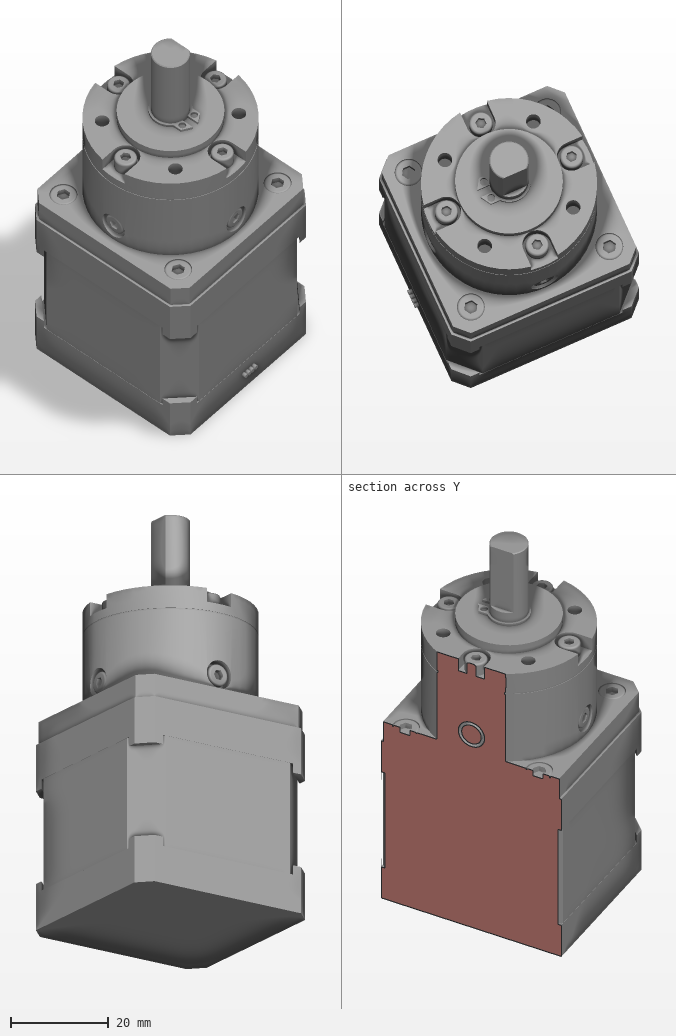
import cadquery as cq
import math

motor_width = 42.0
motor_height = 40.0
cap_chamfer = 3.0
stack_width = 41.9
stack_chamfer = 5.65
stack_bottom = 8.0
stack_top = 32.0
post_length = 2.0
post_chamfer = 5.0

wire_count = 4
wire_diameter = 1.0
wire_pitch = 1.02
wire_reach = 0.88
wire_root = 1.0
wire_z = 4.5

plate_width = 41.0
plate_thickness = 5.0
plate_chamfer = 2.75
plate_screw_offset = 15.5

gearbox_radius = 18.0
gearbox_height = 22.2
boss_radius = 11.0
boss_height = 2.1
seam_below_top = 5.15
seam_width = 0.3
seam_depth = 0.1

bolt_circle_radius = 14.0
slot_width = 6.0
slot_depth = 3.0
mount_hole_diameter = 3.0
mount_hole_depth = 5.0

side_screw_height = 4.0
side_bore_diameter = 6.0
side_bore_floor = 15.0
side_head_top = 17.6

shaft_radius = 4.0
shaft_flat = 3.0
flat_start_above_boss = 3.0
total_height = 87.3
shaft_chamfer = 0.2

clip_thickness = 0.6
clip_radius = 4.5
clip_gap = 1.6
ear_half_width = 3.0
ear_shoulder_x = 5.4
ear_tip_x = 6.75
ear_hole_x = 4.8
ear_hole_y = 1.85
ear_hole_diameter = 1.6

M3_SCREW = (5.68, 2.5, 0.5)
M25_SCREW = (4.68, 2.0, 0.45)
m25_head_height = 2.9
m3_head_height = 3.0
socket_depth = 1.3

plate_top = motor_height + plate_thickness
flange_top = plate_top + gearbox_height
boss_top = flange_top + boss_height
slot_floor = flange_top - slot_depth


def octagon(width, chamfer, bottom, top):
    """Square prism with chamfered vertical corners."""
    block = cq.Workplane("XY").workplane(offset=bottom).rect(width, width).extrude(top - bottom)
    return block.edges("|Z").chamfer(chamfer)


def cylinder(radius, bottom, top):
    return cq.Workplane("XY").workplane(offset=bottom).circle(radius).extrude(top - bottom)


def slab(length_x, length_y, bottom, top):
    return cq.Workplane("XY").workplane(offset=bottom).rect(length_x, length_y).extrude(top - bottom)


def quarter_turns(shape):
    """The shape in its four positions about the main axis."""
    return [shape.rotate((0, 0, 0), (0, 0, 1), 90 * turn) for turn in range(4)]


def screw_head(screw, height):
    """Socket head standing on the origin, hexagon corners along X."""
    diameter, across_flats, edge_round = screw
    across_corners = across_flats / math.cos(math.radians(30))
    head = cq.Workplane("XY").circle(diameter / 2).extrude(height)
    head = head.faces(">Z").edges().fillet(edge_round)
    return head.faces(">Z").workplane().polygon(6, across_corners).cutBlind(-socket_depth)


def make_motor():
    lower_cap = octagon(motor_width, cap_chamfer, 0, stack_bottom + post_length)
    upper_cap = octagon(motor_width, cap_chamfer, stack_top - post_length, motor_height)
    caps = lower_cap.union(upper_cap)
    for bottom, top in (
        (stack_bottom, stack_bottom + post_length),
        (stack_top - post_length, stack_top),
    ):
        caps = caps.cut(octagon(motor_width, post_chamfer, bottom, top))
    stack = octagon(stack_width, stack_chamfer, stack_bottom, stack_top)
    motor = caps.union(stack)
    for index in range(wire_count):
        wire_y = (index - (wire_count - 1) / 2) * wire_pitch
        wire = cq.Workplane("YZ").circle(wire_diameter / 2).extrude(wire_root + wire_reach)
        motor = motor.union(wire.translate((motor_width / 2 - wire_root, wire_y, wire_z)))
    return motor


def make_plate():
    plate = octagon(plate_width, plate_chamfer, motor_height, plate_top)
    head_seat = plate_top - m3_head_height
    head = screw_head(M3_SCREW, m3_head_height)
    for side_x in (-1, 1):
        for side_y in (-1, 1):
            place = (side_x * plate_screw_offset, side_y * plate_screw_offset, head_seat)
            pocket = cq.Workplane("XY").circle(M3_SCREW[0] / 2).extrude(m3_head_height)
            plate = plate.cut(pocket.translate(place)).union(head.translate(place))
    return plate


def make_gearbox():
    body = cylinder(gearbox_radius, plate_top, flange_top)
    seam_bottom = flange_top - seam_below_top
    seam = cylinder(gearbox_radius, seam_bottom, seam_bottom + seam_width)
    seam = seam.cut(cylinder(gearbox_radius - seam_depth, seam_bottom, seam_bottom + seam_width))
    body = body.cut(seam)
    body = body.union(cylinder(boss_radius, flange_top, boss_top))
    return cut_mount_holes(add_side_screws(add_face_screws(body)))


def add_face_screws(body):
    """Radial slots in the flange, each holding a screw head."""
    slot = (
        cq.Workplane("XY").workplane(offset=slot_floor)
        .moveTo(gearbox_radius, slot_width / 2)
        .lineTo(bolt_circle_radius, slot_width / 2)
        .threePointArc(
            (bolt_circle_radius - slot_width / 2, 0), (bolt_circle_radius, -slot_width / 2)
        )
        .lineTo(gearbox_radius, -slot_width / 2)
        .close().extrude(slot_depth)
    )
    head = screw_head(M25_SCREW, m25_head_height).translate((bolt_circle_radius, 0, slot_floor))
    for pocket, screw in zip(quarter_turns(slot), quarter_turns(head)):
        body = body.cut(pocket).union(screw)
    return body


def add_side_screws(body):
    """Counterbored screws entering the gearbox radially near the plate."""
    height = plate_top + side_screw_height
    bore_length = gearbox_radius - side_bore_floor
    bore = cq.Workplane("XY").circle(side_bore_diameter / 2).extrude(bore_length)
    head = screw_head(M25_SCREW, side_head_top - side_bore_floor)
    bore, head = (
        shape.rotate((0, 0, 0), (0, 0, 1), 90)
        .rotate((0, 0, 0), (0, 1, 0), 90)
        .translate((side_bore_floor, 0, height))
        for shape in (bore, head)
    )
    for pocket, screw in zip(quarter_turns(bore), quarter_turns(head)):
        body = body.cut(pocket).union(screw)
    return body


def cut_mount_holes(body):
    hole = (
        cylinder(mount_hole_diameter / 2, flange_top - mount_hole_depth, flange_top)
        .translate((bolt_circle_radius, 0, 0))
        .rotate((0, 0, 0), (0, 0, 1), 45)
    )
    for position in quarter_turns(hole):
        body = body.cut(position)
    return body


def make_shaft():
    shaft = cylinder(shaft_radius, boss_top, total_height).faces(">Z").edges().chamfer(shaft_chamfer)
    flat_start = boss_top + flat_start_above_boss
    removed = slab(2 * shaft_radius, 2 * shaft_radius, flat_start, total_height)
    return shaft.cut(removed.translate((0, shaft_flat + shaft_radius, 0)))


def make_clip():
    """Open ring around the shaft with two drilled ears on the +X side."""
    ears = (
        cq.Workplane("XY").workplane(offset=boss_top)
        .moveTo(0, ear_half_width)
        .lineTo(ear_shoulder_x, ear_half_width)
        .lineTo(ear_tip_x, clip_gap / 2)
        .lineTo(ear_tip_x, -clip_gap / 2)
        .lineTo(ear_shoulder_x, -ear_half_width)
        .lineTo(0, -ear_half_width)
        .close().extrude(clip_thickness)
    )
    clip_top = boss_top + clip_thickness
    clip = cylinder(clip_radius, boss_top, clip_top).union(ears)
    clip = clip.cut(slab(2 * ear_tip_x, clip_gap, boss_top, clip_top).translate((ear_tip_x, 0, 0)))
    for side in (-1, 1):
        hole = cylinder(ear_hole_diameter / 2, boss_top, clip_top)
        clip = clip.cut(hole.translate((ear_hole_x, side * ear_hole_y, 0)))
    return clip


result = (
    make_motor()
    .union(make_plate())
    .union(make_gearbox())
    .union(make_clip())
    .union(make_shaft())
)